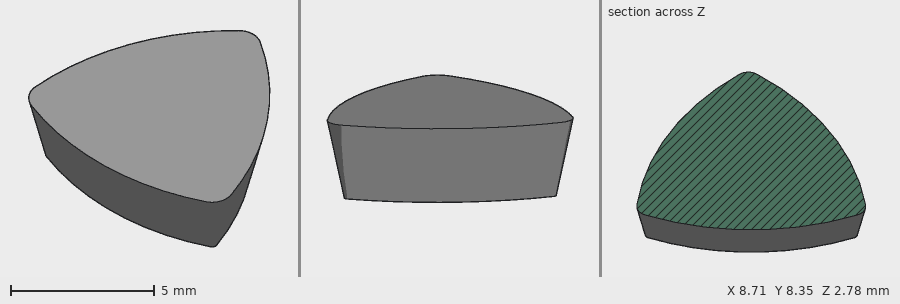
import cadquery as cq
import math

WIDTH = 8.71
DEPTH = 8.35
HEIGHT = 2.78

CORNER_RADIUS = 0.78
SIDE_RADIUS = 10.0
WALL_INSET = 0.59

corner_x = WIDTH / 2 - CORNER_RADIUS
center_arc_radius = SIDE_RADIUS - CORNER_RADIUS
front_corner_y = SIDE_RADIUS - math.sqrt(center_arc_radius**2 - corner_x**2)
back_corner_y = DEPTH - CORNER_RADIUS

CORNERS = [
    cq.Vector(-corner_x, front_corner_y),
    cq.Vector(corner_x, front_corner_y),
    cq.Vector(0, back_corner_y),
]


def side_center(start, end):
    """Center of the bowed side that touches the corner arcs around start and end."""
    chord = end - start
    inward = cq.Vector(-chord.y, chord.x).normalized()
    reach = math.sqrt(center_arc_radius**2 - (chord.Length / 2) ** 2)
    return (start + end) * 0.5 + inward * reach


def outline(inset, z):
    """Closed rounded-triangle wire, moved inward from the upper outline by inset."""
    radius = CORNER_RADIUS - inset
    lift = cq.Vector(0, 0, z)
    edges = []
    for i, corner in enumerate(CORNERS):
        previous_corner = CORNERS[i - 1]
        next_corner = CORNERS[(i + 1) % len(CORNERS)]
        center = side_center(corner, next_corner)
        arriving = (corner - side_center(previous_corner, corner)).normalized()
        leaving = (corner - center).normalized()
        side_middle = ((corner + next_corner) * 0.5 - center).normalized()
        corner_middle = (arriving + leaving).normalized()
        corner_start = corner + arriving * radius + lift
        corner_end = corner + leaving * radius + lift
        side_end = next_corner + (next_corner - center).normalized() * radius + lift
        side_peak = center + side_middle * (SIDE_RADIUS - inset) + lift
        corner_peak = corner + corner_middle * radius + lift
        edges.append(cq.Edge.makeThreePointArc(corner_start, corner_peak, corner_end))
        edges.append(cq.Edge.makeThreePointArc(corner_end, side_peak, side_end))
    return cq.Wire.assembleEdges(edges)


lower_outline = outline(WALL_INSET, 0)
upper_outline = outline(0, HEIGHT)
result = cq.Workplane(obj=cq.Solid.makeLoft([lower_outline, upper_outline], True))